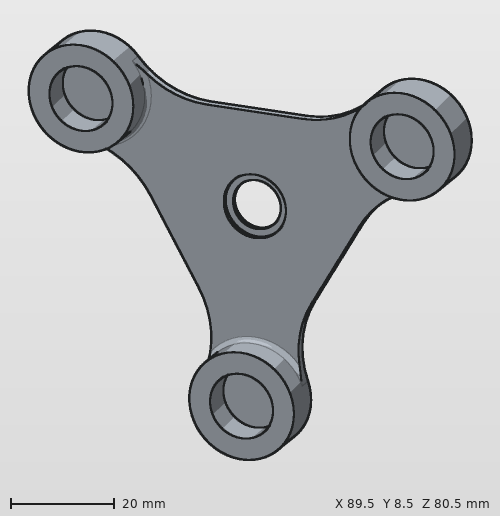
import cadquery as cq
import math

overall_width = 89.5
boss_radius = 11.0
boss_height = 8.5
pocket_radius = 6.6
pocket_depth = 6.5
plate_thickness = 2.0
edge_blend_radius = 20.0
boss_fillet_radius = 1.0
hole_radius = 5.0
recess_radius = 6.5
recess_depth = 1.0

boss_spacing = overall_width - 2 * boss_radius
boss_circle_radius = boss_spacing / math.sqrt(3)
half_corner_angle = 30
boss_angles = (30, 150, 270)
boss_centres = [
    (boss_circle_radius * math.cos(math.radians(a)), boss_circle_radius * math.sin(math.radians(a)))
    for a in boss_angles
]


def disc(centre, radius, height, base=0.0):
    """Cylinder standing on the given base level, its axis normal to the plate."""
    return cq.Workplane("XZ").workplane(offset=base).center(*centre).circle(radius).extrude(height)


def corner_gusset(angle, height):
    """Web widening one plate corner, with a concave arc each side from boss to straight edge."""
    along_edge = math.sqrt((boss_radius + edge_blend_radius) ** 2 - edge_blend_radius ** 2)
    contact_share = boss_radius / (boss_radius + edge_blend_radius)
    inward = math.radians(angle + 180)
    centre_x = boss_circle_radius * math.cos(math.radians(angle))
    centre_z = boss_circle_radius * math.sin(math.radians(angle))

    def edge_point(side, along, outward):
        edge = inward + side * math.radians(half_corner_angle)
        normal = edge + side * math.radians(90)
        return (
            centre_x + along * math.cos(edge) + outward * math.cos(normal),
            centre_z + along * math.sin(edge) + outward * math.sin(normal),
        )

    def blend_points(side):
        half_turn = math.atan2(along_edge, edge_blend_radius) / 2
        start = edge_point(side, along_edge * contact_share, edge_blend_radius * contact_share)
        middle = edge_point(
            side,
            along_edge - edge_blend_radius * math.sin(half_turn),
            edge_blend_radius * (1 - math.cos(half_turn)),
        )
        end = edge_point(side, along_edge, 0)
        return start, middle, end

    left_start, left_middle, left_end = blend_points(1)
    right_start, right_middle, right_end = blend_points(-1)
    return (
        cq.Workplane("XZ")
        .moveTo(*left_start)
        .threePointArc(left_middle, left_end)
        .lineTo(*right_end)
        .threePointArc(right_middle, right_start)
        .lineTo(centre_x, centre_z)
        .close()
        .extrude(height)
    )


def plate_outline(height):
    """Triangle between the boss centres with blended corners, raised to the given height."""
    body = cq.Workplane("XZ").polyline(boss_centres).close().extrude(height)
    for angle in boss_angles:
        body = body.union(corner_gusset(angle, height))
    return body.clean()


def boss_foot(centre):
    """Ring with a concave fillet around the foot of a boss, above the plate face."""
    top = plate_thickness + boss_fillet_radius
    outer = boss_radius + boss_fillet_radius
    bend = boss_fillet_radius * (1 - math.sqrt(0.5))
    profile = (
        cq.Workplane("XY")
        .moveTo(0, 0)
        .lineTo(outer, 0)
        .lineTo(outer, -plate_thickness)
        .threePointArc((boss_radius + bend, -plate_thickness - bend), (boss_radius, -top))
        .lineTo(0, -top)
        .close()
    )
    return profile.revolve(360, (0, 0, 0), (0, 1, 0)).translate((centre[0], 0, centre[1]))


plate = plate_outline(plate_thickness)
fillet_limit = plate_outline(boss_height)

result = plate
for boss_centre in boss_centres:
    result = result.union(boss_foot(boss_centre).intersect(fillet_limit))
    result = result.union(disc(boss_centre, boss_radius, boss_height))

for boss_centre in boss_centres:
    result = result.cut(disc(boss_centre, pocket_radius, pocket_depth, boss_height - pocket_depth))

result = result.cut(disc((0, 0), hole_radius, plate_thickness))
result = result.cut(disc((0, 0), recess_radius, recess_depth, plate_thickness - recess_depth))